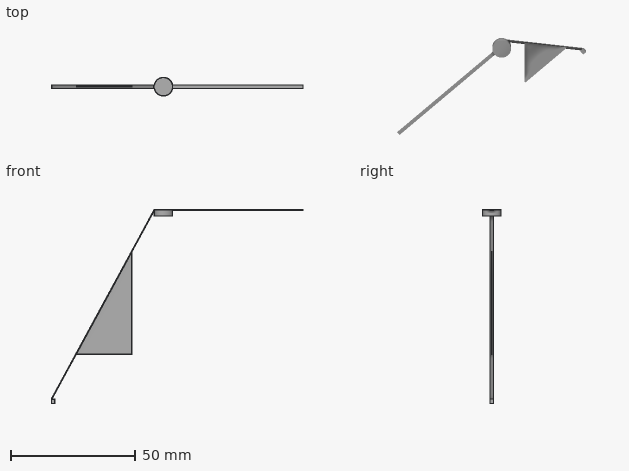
import cadquery as cq

HUB_DIAMETER = 7.5
HUB_HEIGHT = 2.6
HUB_RADIUS = HUB_DIAMETER / 2

STRIP_WIDTH = 1.5
STRIP_THICKNESS = 0.25

TOTAL_LENGTH = 101.37
TOTAL_HEIGHT = 78.1
ARM_TIP_X = 56.25

FOOT_LENGTH = 1.5
FOOT_HEIGHT = 1.9
FOOT_LEFT_X = ARM_TIP_X - TOTAL_LENGTH
FOOT_TOP_Z = FOOT_HEIGHT - TOTAL_HEIGHT

STRUT_OVERHANG = 0.15
STRUT_TOP_X = -HUB_RADIUS - STRUT_OVERHANG
STRUT_TOP_Z = -0.3
STRUT_RUN = STRUT_TOP_X - FOOT_LEFT_X
STRUT_DROP = STRUT_TOP_Z - FOOT_TOP_Z
STRUT_SLOPE = STRUT_DROP / STRUT_RUN
STRUT_LENGTH = (STRUT_RUN**2 + STRUT_DROP**2) ** 0.5
STRUT_SPAN_X = STRIP_THICKNESS * STRUT_LENGTH / STRUT_DROP

FIN_THICKNESS = 0.4
FIN_EDGE_X = -12.65
FIN_BOTTOM_Z = -58.2


def extrude_profile(points, width):
    """Extrude an outline in the XZ plane, centred on Y = 0."""
    return cq.Workplane("XZ").polyline(points).close().extrude(width / 2, both=True)


def strut_middle_x(z):
    """X of the plane midway between the strut faces, at height z."""
    return STRUT_TOP_X + STRUT_SPAN_X / 2 + (z - STRUT_TOP_Z) / STRUT_SLOPE


def strut_middle_z(x):
    """Height of the plane midway between the strut faces, at x."""
    return STRUT_TOP_Z + (x - STRUT_TOP_X - STRUT_SPAN_X / 2) * STRUT_SLOPE


def make_hub():
    return cq.Workplane("XY").circle(HUB_RADIUS).extrude(-HUB_HEIGHT)


def make_block(left_x, length, bottom_z, height):
    """Box of strip width, centred on Y = 0."""
    block = cq.Workplane("XY").box(length, STRIP_WIDTH, height, centered=(False, True, False))
    return block.translate((left_x, 0, bottom_z))


def make_arm():
    return make_block(0, ARM_TIP_X, -STRIP_THICKNESS, STRIP_THICKNESS)


def make_strut():
    return extrude_profile(
        [
            (FOOT_LEFT_X, FOOT_TOP_Z),
            (STRUT_TOP_X, STRUT_TOP_Z),
            (STRUT_TOP_X + STRUT_SPAN_X, STRUT_TOP_Z),
            (FOOT_LEFT_X + STRUT_SPAN_X, FOOT_TOP_Z),
        ],
        STRIP_WIDTH,
    )


def make_foot():
    return make_block(FOOT_LEFT_X, FOOT_LENGTH, -TOTAL_HEIGHT, FOOT_HEIGHT)


def make_fin():
    return extrude_profile(
        [
            (strut_middle_x(FIN_BOTTOM_Z), FIN_BOTTOM_Z),
            (FIN_EDGE_X, FIN_BOTTOM_Z),
            (FIN_EDGE_X, strut_middle_z(FIN_EDGE_X)),
        ],
        FIN_THICKNESS,
    )


result = make_hub().union(make_arm()).union(make_strut()).union(make_foot()).union(make_fin())